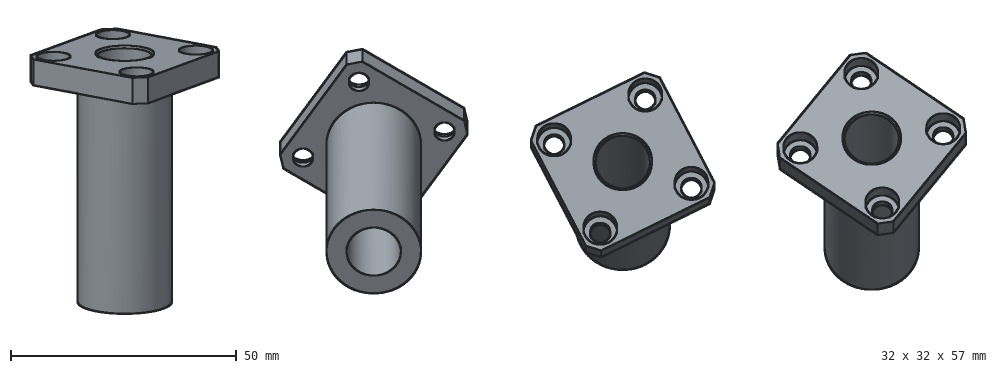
import cadquery as cq

flange_side = 32.0
flange_thickness = 6.0
corner_cut = 2.5

total_length = 57.0
sleeve_diameter = 21.0
bore_diameter = 12.0
bore_mouth_diameter = 13.0
bore_chamfer = (bore_mouth_diameter - bore_diameter) / 2

hole_pitch = 22.65
hole_diameter = 4.5
counterbore_diameter = 7.5
counterbore_depth = 4.1


def make_flange():
    """Square plate with cut corners, its top face at Z = 0."""
    plate = cq.Workplane("XY").box(
        flange_side, flange_side, flange_thickness, centered=(True, True, False)
    )
    return plate.edges("|Z").chamfer(corner_cut).translate((0, 0, -flange_thickness))


def make_sleeve():
    """Cylinder hanging the full length down from the flange top."""
    return cq.Workplane("XY").circle(sleeve_diameter / 2).extrude(-total_length)


def cut_mounting_holes(body):
    """Four counterbored holes, one near each flange corner."""
    return (
        body.faces(">Z")
        .workplane(origin=(0, 0, 0))
        .rect(hole_pitch, hole_pitch, forConstruction=True)
        .vertices()
        .cboreHole(hole_diameter, counterbore_diameter, counterbore_depth, depth=flange_thickness)
    )


def cut_bore(body):
    """Through bore with a chamfered mouth in the flange top."""
    bore = cq.Workplane("XY").circle(bore_diameter / 2).extrude(-total_length)
    flare = (
        cq.Workplane("XY")
        .circle(bore_mouth_diameter / 2)
        .workplane(offset=-bore_chamfer)
        .circle(bore_diameter / 2)
        .loft()
    )
    return body.cut(bore).cut(flare)


result = cut_bore(cut_mounting_holes(make_flange().union(make_sleeve())))